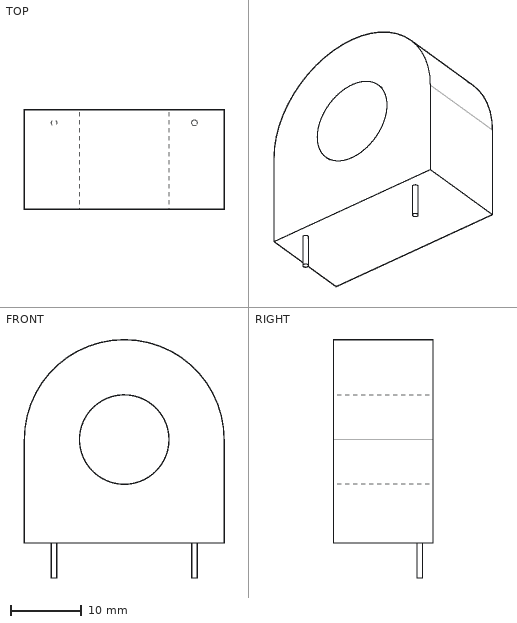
import cadquery as cq

width = 28.5
depth = 14.2
body_height = 29.0
top_radius = width / 2
axis_height = body_height - top_radius

hole_diameter = 12.7

total_height = 34
pin_length = total_height - body_height
pin_diameter = 0.8
pin_spacing = 20.0
pin_back_offset = 1.9
pin_y = depth / 2 - pin_back_offset


def make_housing():
    """Round-topped block, centred on X and Y, standing on Z = 0."""
    block = (
        cq.Workplane("XZ", origin=(0, depth / 2, 0))
        .moveTo(-top_radius, 0)
        .lineTo(top_radius, 0)
        .lineTo(top_radius, axis_height)
        .threePointArc((0, body_height), (-top_radius, axis_height))
        .close()
        .extrude(depth)
    )
    hole = (
        cq.Workplane("XZ", origin=(0, depth / 2, axis_height))
        .circle(hole_diameter / 2)
        .extrude(depth)
    )
    return block.cut(hole)


def make_pins():
    """Pair of pins hanging from the underside of the housing."""
    return (
        cq.Workplane("XY")
        .pushPoints([(side * pin_spacing / 2, pin_y) for side in (-1, 1)])
        .circle(pin_diameter / 2)
        .extrude(-pin_length)
    )


result = make_housing().union(make_pins())